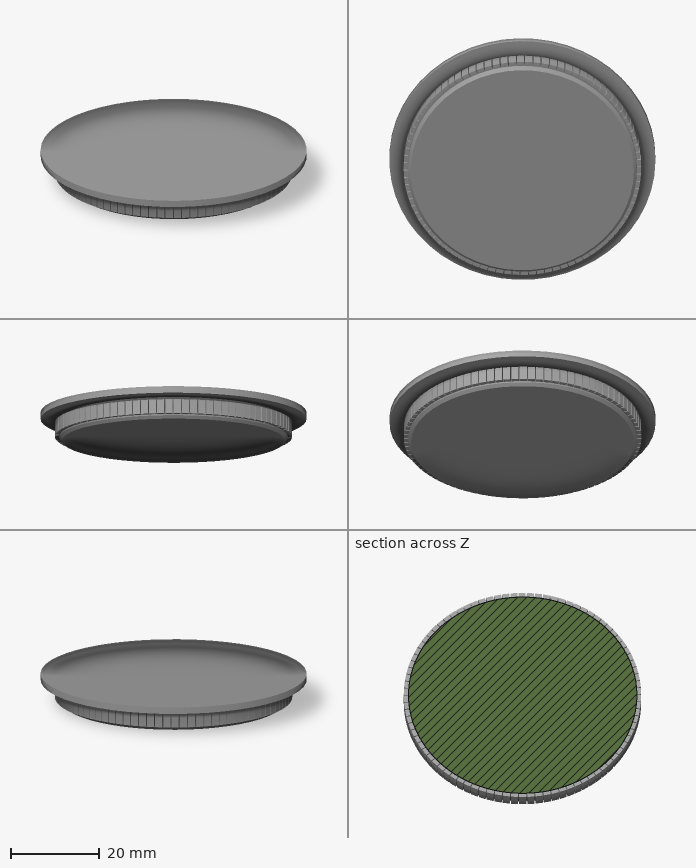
import cadquery as cq

plate_diameter = 60.0
plate_thickness = 1.5
total_height = 6.5

boss_diameter = 51.6
neck_inset = 0.7
neck_height = 0.7
rim_inset = 0.65
rim_height = 0.65

tooth_count = 90
tooth_tip_radius = 26.75
tooth_width = 1.6
tooth_height = 3.2
tooth_bottom = 0.95
tooth_embed = 0.6

boss_radius = boss_diameter / 2
plate_bottom = total_height - plate_thickness
tooth_pitch = 360 / tooth_count


def make_plate():
    base = cq.Workplane("XY").workplane(offset=plate_bottom)
    return base.circle(plate_diameter / 2).extrude(plate_thickness)


def make_boss():
    """Disc with a tapered lower rim and a neck that narrows towards the plate."""
    profile = [
        (0, 0),
        (boss_radius - rim_inset, 0),
        (boss_radius, rim_height),
        (boss_radius, plate_bottom - neck_height),
        (boss_radius - neck_inset, plate_bottom),
        (0, plate_bottom),
    ]
    return cq.Workplane("XZ").polyline(profile).close().revolve(360, (0, 0, 0), (0, 1, 0))


def make_teeth():
    """Flat-faced teeth, rooted a little inside the boss; a gap between two teeth faces +X."""
    root_radius = boss_radius - tooth_embed
    depth = tooth_tip_radius - root_radius
    return (
        cq.Workplane("XY").workplane(offset=tooth_bottom)
        .polarArray(root_radius + depth / 2, tooth_pitch / 2, 360, tooth_count)
        .rect(depth, tooth_width)
        .extrude(tooth_height)
    )


result = make_plate().union(make_boss()).union(make_teeth())